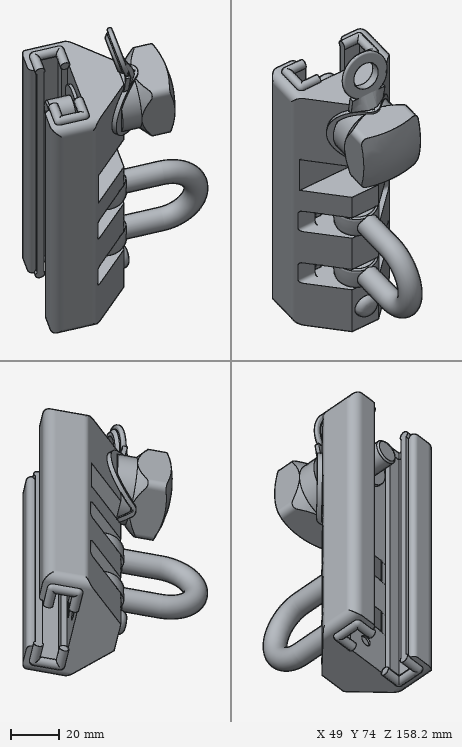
import cadquery as cq
import math

BODY_WIDTH = 49.0
BODY_DEPTH = 35.9
BODY_BOTTOM = 2.0
BODY_TOP = 134.2
SIDE_DEPTH = 18.0
FRONT_EDGE_RADIUS = 4.7
TAPER_EDGE_RADIUS = 2.7
END_RADIUS = 3.8
HALF_WIDTH = BODY_WIDTH / 2
TAPER_APEX = SIDE_DEPTH + HALF_WIDTH

CAVITY_HALF_WIDTH = 20.3
CAVITY_FLOOR = 17.0
LIP_THICKNESS = 3.2
LIP_HALF_GAP = 11.2
LIP_RADIUS = 2.2

BEAD_RADIUS = BODY_BOTTOM
LINER_TOP = BODY_TOP + BEAD_RADIUS
LINER_HALF_GAP = 9.7
LINER_BACK_HALF_GAP = 11.9
LINER_FRONT = LIP_THICKNESS
LINER_BACK = 17.4
LINER_THICKNESS = 3.0
BEAD_FRONT = 4.5
BEAD_BACK = 15.3
BEAD_SIDE = CAVITY_HALF_WIDTH - BEAD_RADIUS

NOTCH_BOTTOM = 80.4
NOTCH_TOP = 98.3
NOTCH_FLOOR = 20.3

ROD_DIAMETER = 10.0
SHACKLE_MID_Z = 47.5
LEG_SPACING = 30.0
SHACKLE_REACH = 74.0
BEND_RADIUS = LEG_SPACING / 2
BEND_START = SHACKLE_REACH - BEND_RADIUS - ROD_DIAMETER / 2
HEAD_Y = 29.3
HEAD_RADIUS = 9.5
HEAD_RIM_RADIUS = 9.3
HEAD_EDGE_RADIUS = 9.0
HEAD_FACE_RADIUS = 8.0
HEAD_RIM_HALF_HEIGHT = 3.8
HEAD_EDGE_HALF_HEIGHT = 4.7
HEAD_HALF_HEIGHT = 5.2
HUB_DIAMETER = 10.5
SLOT_HEIGHT = 11.9
SLOT_FLOOR = 19.8
SLOT_CORNER_RADIUS = 1.6
WINDOW_HALF_WIDTH = 14.2

PIN_Z = 118.0
PIN_DIAMETER = 11.0
PIN_TIP = 4.7
PIN_CHAMFER = 0.8
WASHER_DIAMETER = 20.0
WASHER_THICKNESS = 1.5
KNOB_SIZE = 28.5
KNOB_CORNER_RADIUS = 3.0
KNOB_FRONT = 33.2
KNOB_CONE_START = 41.5
KNOB_BACK = 58.2
KNOB_DOME_RADIUS = 42.7

STRAP_THICKNESS = 2.0
STRAP_RADIUS = 15.3
STRAP_REACH = 14.1
STRAP_FOLD_RADIUS = 4.1
NECK_HALF_WIDTH = 8.0
NECK_FOLD_HALF_WIDTH = 1.9
NECK_INSET = 0.2
NECK_BOTTOM = 130.5
NECK_TOP = 139.2
EYE_Y = 35.5
EYE_Z = 147.6
EYE_TILT = 13.7
EYE_DIAMETER = 21.7
EYE_EDGE_RADIUS = 0.8
EYE_HOLE = 12.0
GROMMET_DIAMETER = 18.0
GROMMET_FACE_DIAMETER = 15.0
GROMMET_HEIGHT = 2.0

RIVET_Z = 14.1
RIVET_HEAD_DIAMETER = 10.5
RIVET_HEAD_HEIGHT = 3.5
RIVET_HEAD_RADIUS = 3.2
RIVET_HOLE = 5.0
RIVET_HOLE_DEPTH = 0.8


def box(x0, x1, y0, y1, z0, z1):
    """Box between two corners."""
    return cq.Workplane("XY").box(x1 - x0, y1 - y0, z1 - z0, centered=False).translate((x0, y0, z0))


def cylinder_y(diameter, y0, y1, z):
    """Cylinder along Y on the middle plane x = 0."""
    return cq.Workplane("XZ", origin=(0, y0, z)).circle(diameter / 2).extrude(y0 - y1)


def make_body():
    back_half_width = TAPER_APEX - BODY_DEPTH
    outline = [
        (-HALF_WIDTH, 0),
        (HALF_WIDTH, 0),
        (HALF_WIDTH, SIDE_DEPTH),
        (back_half_width, BODY_DEPTH),
        (-back_half_width, BODY_DEPTH),
        (-HALF_WIDTH, SIDE_DEPTH),
    ]
    height = BODY_TOP - BODY_BOTTOM
    body = cq.Workplane("XY", origin=(0, 0, BODY_BOTTOM)).polyline(outline).close().extrude(height)
    body = body.edges("|Z and <Y").fillet(FRONT_EDGE_RADIUS)
    taper_corners = cq.selectors.BoxSelector(
        (-BODY_WIDTH, SIDE_DEPTH - 1.6, 0), (BODY_WIDTH, SIDE_DEPTH + 1.6, LINER_TOP)
    )
    body = body.edges("|Z").edges(taper_corners).fillet(TAPER_EDGE_RADIUS)
    rounded_block = (
        box(-HALF_WIDTH, HALF_WIDTH, 0, BODY_DEPTH, BODY_BOTTOM, BODY_TOP).edges("|Y").fillet(END_RADIUS)
    )
    body = body.intersect(rounded_block)

    cavity = box(-CAVITY_HALF_WIDTH, CAVITY_HALF_WIDTH, LIP_THICKNESS, CAVITY_FLOOR, 0, LINER_TOP)
    mouth = box(-LIP_HALF_GAP, LIP_HALF_GAP, 0, CAVITY_FLOOR, 0, LINER_TOP)
    body = body.cut(cavity).cut(mouth)
    lip_edges = cq.selectors.BoxSelector(
        (-LIP_HALF_GAP - 0.2, -0.2, 0), (LIP_HALF_GAP + 0.2, 0.2, LINER_TOP)
    )
    body = body.edges("|Z").edges(lip_edges).fillet(LIP_RADIUS)
    notch = box(-HALF_WIDTH, HALF_WIDTH, NOTCH_FLOOR, BODY_DEPTH, NOTCH_BOTTOM, NOTCH_TOP)
    return body.cut(notch)


def make_bead(z):
    """Round bead along the end of the +X liner, half sunk in the end of the body."""
    arm_length = BEAD_SIDE - LINER_HALF_GAP
    bead = cq.Workplane("XZ", origin=(BEAD_SIDE, BEAD_FRONT, z))
    bead = bead.circle(BEAD_RADIUS).extrude(BEAD_FRONT - BEAD_BACK)
    for y in (BEAD_FRONT, BEAD_BACK):
        arm = cq.Workplane("YZ", origin=(LINER_HALF_GAP, y, z)).circle(BEAD_RADIUS).extrude(arm_length)
        corner = cq.Workplane("XY", origin=(BEAD_SIDE, y, z)).sphere(BEAD_RADIUS)
        bead = bead.union(arm).union(corner)
    return bead


def make_liner():
    """Liner on the +X side."""
    outer = box(LINER_HALF_GAP, CAVITY_HALF_WIDTH, LINER_FRONT, LINER_BACK, BODY_BOTTOM, BODY_TOP)
    inner = box(
        LINER_HALF_GAP,
        CAVITY_HALF_WIDTH - LINER_THICKNESS,
        LINER_FRONT + LINER_THICKNESS,
        LINER_BACK - LINER_THICKNESS,
        BODY_BOTTOM,
        BODY_TOP,
    )
    back_trim = box(
        LINER_HALF_GAP, LINER_BACK_HALF_GAP, LINER_BACK - LINER_THICKNESS, CAVITY_FLOOR, BODY_BOTTOM, BODY_TOP
    )
    liner = outer.cut(inner).cut(back_trim)
    return liner.union(make_bead(BODY_BOTTOM)).union(make_bead(BODY_TOP))


def make_leg_slot(z):
    """Slot across the tapered back, with a window through the channel floor."""
    z0 = z - SLOT_HEIGHT / 2
    z1 = z + SLOT_HEIGHT / 2
    slot = box(-HALF_WIDTH, HALF_WIDTH, SLOT_FLOOR, BODY_DEPTH, z0, z1)
    slot = slot.edges("|X and <Y").fillet(SLOT_CORNER_RADIUS)
    window = box(-WINDOW_HALF_WIDTH, WINDOW_HALF_WIDTH, CAVITY_FLOOR, BODY_DEPTH, z0, z1)
    return slot.union(window)


def make_head(z):
    """Barrel-shaped head on a hub that spans its slot."""
    profile = (
        cq.Workplane("XZ")
        .moveTo(0, -HEAD_HALF_HEIGHT)
        .lineTo(HEAD_FACE_RADIUS, -HEAD_HALF_HEIGHT)
        .lineTo(HEAD_EDGE_RADIUS, -HEAD_EDGE_HALF_HEIGHT)
        .lineTo(HEAD_RIM_RADIUS, -HEAD_RIM_HALF_HEIGHT)
        .threePointArc((HEAD_RADIUS, 0), (HEAD_RIM_RADIUS, HEAD_RIM_HALF_HEIGHT))
        .lineTo(HEAD_EDGE_RADIUS, HEAD_EDGE_HALF_HEIGHT)
        .lineTo(HEAD_FACE_RADIUS, HEAD_HALF_HEIGHT)
        .lineTo(0, HEAD_HALF_HEIGHT)
        .close()
    )
    head = profile.revolve(360, (0, 0, 0), (0, 1, 0))
    hub = cq.Workplane("XY").circle(HUB_DIAMETER / 2).extrude(SLOT_HEIGHT / 2, both=True)
    return head.union(hub).translate((0, HEAD_Y, z))


def make_shackle():
    z0 = SHACKLE_MID_Z - BEND_RADIUS
    z1 = SHACKLE_MID_Z + BEND_RADIUS
    path = (
        cq.Workplane("YZ")
        .moveTo(HEAD_Y, z0)
        .lineTo(BEND_START, z0)
        .threePointArc((BEND_START + BEND_RADIUS, SHACKLE_MID_Z), (BEND_START, z1))
        .lineTo(HEAD_Y, z1)
    )
    rod = cq.Workplane("XZ", origin=(0, HEAD_Y, z0)).circle(ROD_DIAMETER / 2).sweep(path)
    return rod.union(make_head(z0)).union(make_head(z1))


def make_pin():
    pin = cylinder_y(PIN_DIAMETER, PIN_TIP, KNOB_CONE_START, PIN_Z).faces("<Y").chamfer(PIN_CHAMFER)
    washer = cylinder_y(WASHER_DIAMETER, CAVITY_FLOOR - WASHER_THICKNESS, CAVITY_FLOOR, PIN_Z)
    return pin.union(washer)


def make_knob():
    square = (
        cq.Workplane("XZ", origin=(0, KNOB_FRONT, PIN_Z))
        .rect(KNOB_SIZE, KNOB_SIZE)
        .extrude(KNOB_FRONT - KNOB_BACK)
        .edges("|Y")
        .fillet(KNOB_CORNER_RADIUS)
    )
    collar_radius = KNOB_SIZE / 2
    outer_radius = KNOB_SIZE * math.sqrt(2) / 2
    middle_radius = outer_radius / 2

    def dome_y(radius):
        return KNOB_BACK - KNOB_DOME_RADIUS + math.sqrt(KNOB_DOME_RADIUS**2 - radius**2)

    envelope = (
        cq.Workplane("XY")
        .moveTo(0, KNOB_FRONT)
        .lineTo(collar_radius, KNOB_FRONT)
        .lineTo(collar_radius, KNOB_CONE_START)
        .lineTo(outer_radius, KNOB_CONE_START + outer_radius - collar_radius)
        .lineTo(outer_radius, dome_y(outer_radius))
        .threePointArc((middle_radius, dome_y(middle_radius)), (0, KNOB_BACK))
        .close()
        .revolve(360, (0, 0, 0), (0, 1, 0))
        .translate((0, 0, PIN_Z))
    )
    return square.intersect(envelope)


def neck_section(outer_edge):
    """Closed outline of the neck from its back edge, one strap thickness deep along Y."""
    inner_edge = [(x, y - STRAP_THICKNESS) for x, y in reversed(outer_edge)]
    return outer_edge + inner_edge


def make_strap():
    taper_plane = cq.Plane(origin=(0, TAPER_APEX, PIN_Z), xDir=(1, -1, 0), normal=(1, 1, 0))
    oval = (
        cq.Workplane(taper_plane)
        .ellipse(STRAP_REACH * math.sqrt(2), STRAP_RADIUS)
        .extrude(STRAP_THICKNESS)
    )
    wing = oval.intersect(box(0, BODY_WIDTH, 0, SHACKLE_REACH, 0, LINER_TOP))
    strap = wing.union(wing.mirror("YZ")).edges("|Z and >Y").fillet(STRAP_FOLD_RADIUS)

    fold_y = TAPER_APEX + STRAP_THICKNESS * math.sqrt(2) - NECK_FOLD_HALF_WIDTH - NECK_INSET
    edge_y = fold_y + NECK_FOLD_HALF_WIDTH - NECK_HALF_WIDTH
    flat_y = EYE_Y + (EYE_Z - NECK_TOP) * math.tan(math.radians(EYE_TILT)) + STRAP_THICKNESS / 2
    stations = [-NECK_HALF_WIDTH, -NECK_FOLD_HALF_WIDTH, NECK_FOLD_HALF_WIDTH, NECK_HALF_WIDTH]
    folded_edge = list(zip(stations, [edge_y, fold_y, fold_y, edge_y]))
    flat_edge = [(x, flat_y) for x in stations]
    neck = (
        cq.Workplane("XY", origin=(0, 0, NECK_BOTTOM))
        .polyline(neck_section(folded_edge))
        .close()
        .workplane(offset=NECK_TOP - NECK_BOTTOM)
        .polyline(neck_section(flat_edge))
        .close()
        .loft(ruled=True)
    )
    return strap.union(neck)


def tilt_eye(shape):
    """Lean a shape built around the Y axis and move it to the eye."""
    return shape.rotate((0, 0, 0), (1, 0, 0), EYE_TILT).translate((0, EYE_Y, EYE_Z))


def make_eye():
    half_thickness = STRAP_THICKNESS / 2
    plate = cylinder_y(EYE_DIAMETER, -half_thickness, half_thickness, 0).edges().fillet(EYE_EDGE_RADIUS)
    grommet = cylinder_y(GROMMET_DIAMETER, -half_thickness - GROMMET_HEIGHT, 0, 0)
    bevel = (GROMMET_DIAMETER - GROMMET_FACE_DIAMETER) / 2
    grommet = grommet.faces("<Y").chamfer(bevel)
    return tilt_eye(plate.union(grommet))


def make_eye_hole():
    return tilt_eye(cylinder_y(EYE_HOLE, -EYE_DIAMETER, EYE_DIAMETER, 0))


def make_rivet_head():
    head = cylinder_y(RIVET_HEAD_DIAMETER, BODY_DEPTH, BODY_DEPTH + RIVET_HEAD_HEIGHT, RIVET_Z)
    return head.faces(">Y").edges().fillet(RIVET_HEAD_RADIUS)


body = make_body()
for leg_z in (SHACKLE_MID_Z - BEND_RADIUS, SHACKLE_MID_Z + BEND_RADIUS):
    body = body.cut(make_leg_slot(leg_z))
body = body.cut(cylinder_y(RIVET_HOLE, CAVITY_FLOOR, CAVITY_FLOOR + RIVET_HOLE_DEPTH, RIVET_Z))

liner = make_liner()
result = body.union(liner).union(liner.mirror("YZ"))
result = result.union(make_shackle()).union(make_rivet_head())
result = result.union(make_pin()).union(make_knob())
result = result.union(make_strap()).union(make_eye()).cut(make_eye_hole())